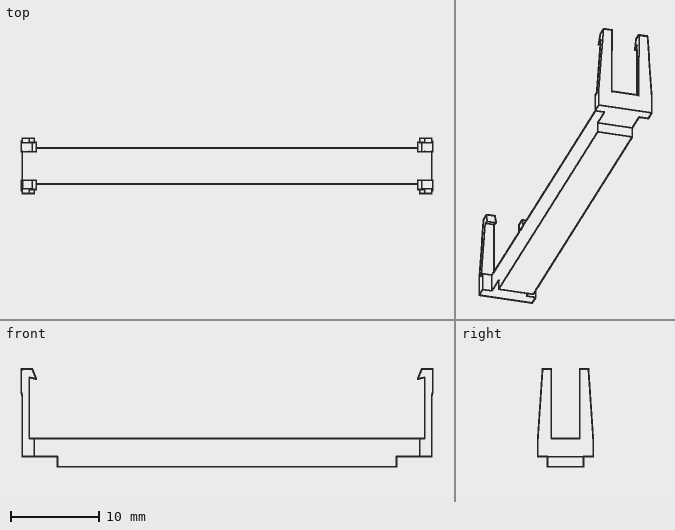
import cadquery as cq

length = 46.7
width = 6.3
height = 11.1

bar_width = 4.1
bar_bottom = 1.15
bar_top = 3.2
foot_length = 38.45

slot_width = 3.2
arm_tip_width = 5.25
plate_thickness = 1.4
arm_thickness = 0.85

arm_step = 0.1
step_bottom = 8.08
step_top = 8.45

hook_top_reach = 1.15
hook_tip_reach = 1.65
hook_tip_z = 9.95
hook_root_z = 10.15

tip_chamfer = 0.2

outer_x = length / 2 - arm_step


def make_bar():
    bar_height = bar_top - bar_bottom
    bar = cq.Workplane("XY").workplane(offset=bar_bottom).rect(2 * outer_x, bar_width).extrude(bar_height)
    foot = cq.Workplane("XY").rect(foot_length, bar_width).extrude(bar_bottom)
    return bar.union(foot)


def make_bracket():
    """Bracket at the -X end: side profile trimmed to the tapered U outline."""
    side_profile = [
        (-outer_x, bar_bottom),
        (-outer_x + plate_thickness, bar_bottom),
        (-outer_x + plate_thickness, bar_top),
        (-outer_x + arm_thickness, bar_top),
        (-outer_x + arm_thickness, hook_root_z),
        (-outer_x + hook_tip_reach, hook_tip_z),
        (-outer_x + hook_top_reach, height),
        (-length / 2, height),
        (-length / 2, step_top),
        (-outer_x, step_bottom),
    ]
    u_outline = [
        (-width / 2, bar_bottom),
        (width / 2, bar_bottom),
        (width / 2, bar_top),
        (arm_tip_width / 2, height),
        (slot_width / 2, height),
        (slot_width / 2, bar_top),
        (-slot_width / 2, bar_top),
        (-slot_width / 2, height),
        (-arm_tip_width / 2, height),
        (-width / 2, bar_top),
    ]
    sides = cq.Workplane("XZ").polyline(side_profile).close().extrude(width / 2, both=True)
    outline = cq.Workplane("YZ").polyline(u_outline).close().extrude(length / 2, both=True)
    return sides.intersect(outline)


def make_tip_chamfer():
    """Wedge that bevels the outer top edge of the arm at the -X, -Y corner."""
    corner = [
        (-length / 2, height - tip_chamfer),
        (-length / 2, height),
        (-length / 2 + tip_chamfer, height),
    ]
    return cq.Workplane("XZ").polyline(corner).close().extrude(width / 2)


bracket = make_bracket()
result = make_bar().union(bracket).union(bracket.mirror("YZ")).cut(make_tip_chamfer())